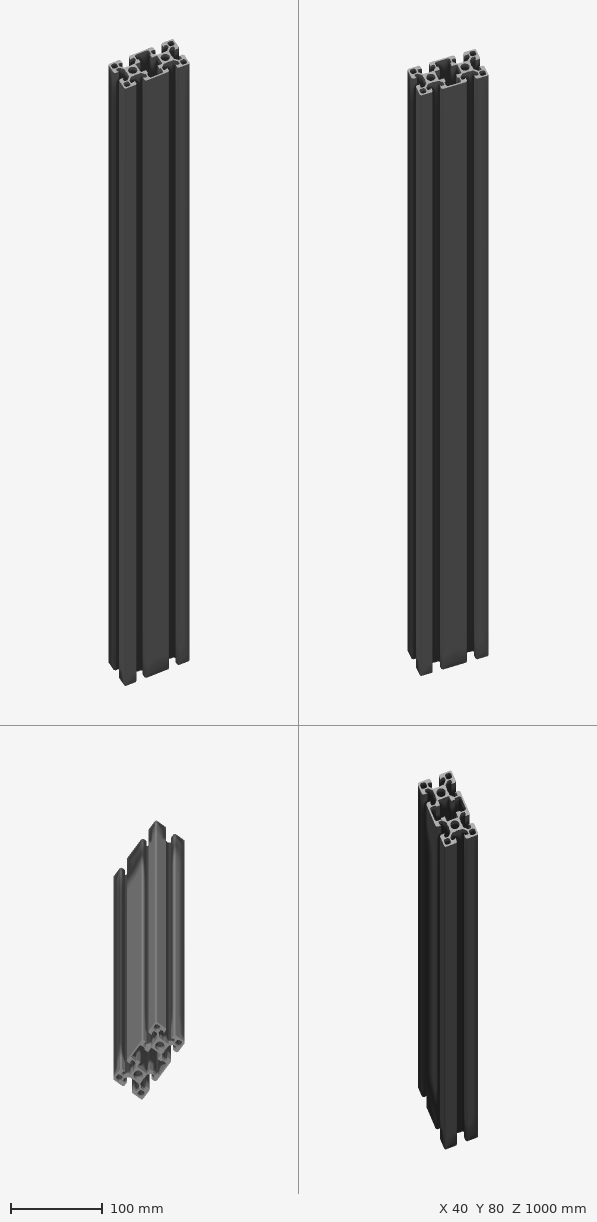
import cadquery as cq

LENGTH = 1000.0
CELL = 40.0
HALF_CELL = CELL / 2
CORNER_RADIUS = 2.0
WALL = 1.8

SLOT_HALF_WIDTH = 5.0
MOUTH_CHAMFER = 1.5
LIP_THICKNESS = 4.5
LIP_INNER = HALF_CELL - LIP_THICKNESS
LIP_CHAMFER = 1.5
CHANNEL_HALF_WIDTH = 10.0
CHANNEL_RADIUS = 1.0
WEB_OFFSET = 1.5
FLOOR = 7.5
GROOVE_HALF_WIDTH = 2.5
GROOVE_DEPTH = 0.5

BORE_RADIUS = 5.0

CHANNEL_WALL = 1.3
HOLLOW_INNER = CHANNEL_HALF_WIDTH + CHANNEL_WALL
HOLLOW_OUTER = HALF_CELL - WALL
HOLLOW_CHAMFER = 1.5

NECK_HALF_WIDTH = 6.5
NECK_HALF_HEIGHT = HALF_CELL - BORE_RADIUS - WALL
RIB_END = 7.0
POCKET_HALF_HEIGHT = HALF_CELL - HOLLOW_INNER

CELL_CENTRES = [(0, -HALF_CELL), (0, HALF_CELL)]


def prism(sketch):
    """Extrude a sketch over the full length, centred on Z = 0."""
    return sketch.extrude(LENGTH).translate((0, 0, -LENGTH / 2))


def slot_cutter():
    """T-slot of a cell centred on the origin, opening toward +X."""
    half_slot = prism(
        cq.Workplane("XY")
        .moveTo(FLOOR - GROOVE_DEPTH, 0)
        .lineTo(FLOOR, GROOVE_HALF_WIDTH)
        .lineTo(FLOOR, FLOOR - WEB_OFFSET)
        .lineTo(CHANNEL_HALF_WIDTH + WEB_OFFSET, CHANNEL_HALF_WIDTH)
        .lineTo(LIP_INNER - CHANNEL_RADIUS, CHANNEL_HALF_WIDTH)
        .radiusArc((LIP_INNER, CHANNEL_HALF_WIDTH - CHANNEL_RADIUS), CHANNEL_RADIUS)
        .lineTo(LIP_INNER, SLOT_HALF_WIDTH + LIP_CHAMFER)
        .lineTo(LIP_INNER - LIP_CHAMFER, SLOT_HALF_WIDTH)
        .lineTo(HALF_CELL - MOUTH_CHAMFER, SLOT_HALF_WIDTH)
        .lineTo(HALF_CELL, SLOT_HALF_WIDTH + MOUTH_CHAMFER)
        .lineTo(HALF_CELL, 0)
        .close()
    )
    return half_slot.union(half_slot.mirror("XZ"))


def slots():
    """Two side slots and one end slot on each cell."""
    cutter = slot_cutter()
    placed = cq.Workplane("XY")
    for x, y in CELL_CENTRES:
        end_angle = 90 if y > 0 else -90
        for angle in (0, 180, end_angle):
            turned = cutter.rotate((0, 0, 0), (0, 0, 1), angle)
            placed = placed.add(turned.translate((x, y, 0)))
    return placed.combine()


def bores():
    return prism(cq.Workplane("XY").pushPoints(CELL_CENTRES).circle(BORE_RADIUS))


def corner_hollows():
    size = HOLLOW_OUTER - HOLLOW_INNER
    middle = (HOLLOW_OUTER + HOLLOW_INNER) / 2
    centres = [(x, y) for x in (-middle, middle) for y in (-HALF_CELL - middle, HALF_CELL + middle)]
    hollows = prism(cq.Workplane("XY").pushPoints(centres).rect(size, size))
    return hollows.edges("|Z").chamfer(HOLLOW_CHAMFER)


def central_cavity():
    """Wide cavity with a neck toward each core and a pocket behind each side wall."""
    quarter = [
        (HOLLOW_OUTER, POCKET_HALF_HEIGHT - HOLLOW_CHAMFER),
        (HOLLOW_OUTER - HOLLOW_CHAMFER, POCKET_HALF_HEIGHT),
        (HOLLOW_INNER, POCKET_HALF_HEIGHT),
        (HOLLOW_INNER, RIB_END),
        (NECK_HALF_WIDTH, RIB_END),
        (NECK_HALF_WIDTH, NECK_HALF_HEIGHT),
    ]
    upper = quarter + [(-x, y) for x, y in reversed(quarter)]
    lower = [(-x, -y) for x, y in upper]
    return prism(cq.Workplane("XY").polyline(upper + lower).close())


bar = prism(cq.Workplane("XY").rect(CELL, CELL * len(CELL_CENTRES)))
bar = bar.edges("|Z").fillet(CORNER_RADIUS)
result = bar.cut(slots()).cut(bores()).cut(corner_hollows()).cut(central_cavity()).solids()